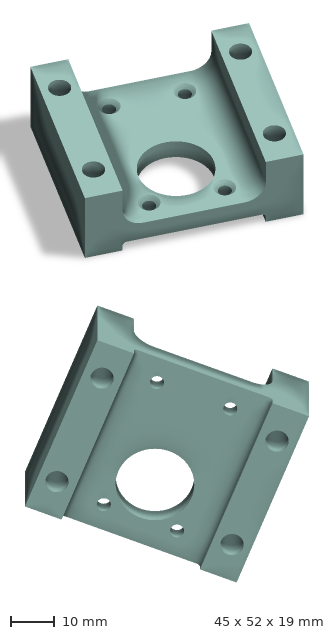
import cadquery as cq

length_x = 45.0
width_y = 52.0
height_z = 19.0

rail_width = 9.0
floor_top = 7.5
floor_bottom = 2.5
upper_fillet = 5.0
lower_fillet = 1.0
channel_width = width_y - 2 * rail_width

rail_hole_diameter = 5.3
rail_hole_spacing_x = 28.0
rail_hole_spacing_y = width_y - rail_width

screw_diameter = 3.2
screw_head_diameter = 5.2
screw_head_angle = 90
screw_spacing_x = 33.0
screw_spacing_y = 18.0

bore_diameter = 18.0
bore_x = 7.5


def channel(bottom, top, fillet, rounded_side):
    """Full-length channel cutter with its two floor corners rounded."""
    cutter = cq.Workplane("XY").box(length_x, channel_width, top - bottom, centered=(True, True, False))
    return cutter.faces(rounded_side).edges("|X").fillet(fillet).translate((0, 0, bottom))


body = cq.Workplane("XY").box(length_x, width_y, height_z, centered=(True, True, False))
body = body.cut(channel(floor_top, height_z, upper_fillet, "<Z"))
body = body.cut(channel(0, floor_bottom, lower_fillet, ">Z"))

body = (
    body.faces(">Z").workplane(origin=(0, 0, height_z))
    .rarray(rail_hole_spacing_x, rail_hole_spacing_y, 2, 2)
    .hole(rail_hole_diameter)
)

floor_plane = cq.Workplane("XY", origin=(0, 0, floor_top))
body = (
    body.copyWorkplane(floor_plane)
    .rarray(screw_spacing_x, screw_spacing_y, 2, 2)
    .cskHole(screw_diameter, screw_head_diameter, screw_head_angle)
)
body = body.copyWorkplane(floor_plane).center(bore_x, 0).hole(bore_diameter)

result = body